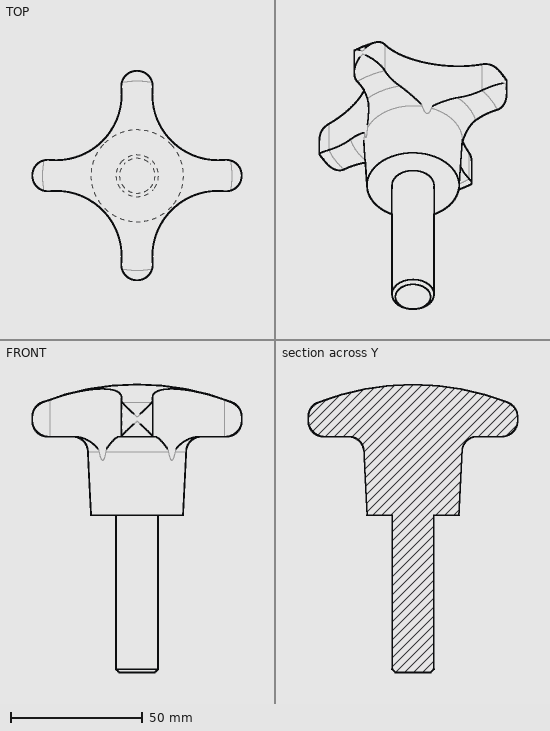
import cadquery as cq
import math

total_height = 110.0
head_diameter = 80.0
head_radius = head_diameter / 2

stud_radius = 8.0
stud_chamfer = 1.3

hub_base_z = 60.1
hub_base_radius = 17.6
hub_top_z = 84.4
hub_top_radius = 18.8

head_base_z = 90.0
dome_radius = 100.0
tip_radius = 6.0

scallop_offset = 30.8
tip_center = head_radius - tip_radius
scallop_radius = math.hypot(tip_center - scallop_offset, scallop_offset) - tip_radius


def point_on_circle(center, radius, angle):
    """Point at an angle in degrees around a circle."""
    turn = math.radians(angle)
    return (center[0] + radius * math.cos(turn), center[1] + radius * math.sin(turn))


def turned(point, angle):
    """Point turned about the origin by an angle in degrees."""
    own_angle = math.degrees(math.atan2(point[1], point[0]))
    return point_on_circle((0, 0), math.hypot(*point), own_angle + angle)


def revolved_body():
    """Stud, hub and domed head as one body of revolution."""
    flare = head_base_z - hub_top_z
    flare_center = (hub_top_radius + flare, hub_top_z)

    dome_center_z = total_height - dome_radius
    dome_angle = math.degrees(math.acos(tip_center / (dome_radius - tip_radius)))
    upper_tip = point_on_circle((0, dome_center_z), dome_radius - tip_radius, dome_angle)
    lower_tip = (tip_center, head_base_z + tip_radius)
    dome_edge = point_on_circle(upper_tip, tip_radius, dome_angle)
    dome_middle = point_on_circle((0, dome_center_z), dome_radius, (dome_angle + 90) / 2)

    return (
        cq.Workplane("XZ")
        .lineTo(stud_radius - stud_chamfer, 0)
        .lineTo(stud_radius, stud_chamfer)
        .lineTo(stud_radius, hub_base_z)
        .lineTo(hub_base_radius, hub_base_z)
        .lineTo(hub_top_radius, hub_top_z)
        .threePointArc(
            point_on_circle(flare_center, flare, 135),
            (flare_center[0], head_base_z),
        )
        .lineTo(tip_center, head_base_z)
        .threePointArc(
            point_on_circle(lower_tip, tip_radius, -45),
            (head_radius, lower_tip[1]),
        )
        .lineTo(head_radius, upper_tip[1])
        .threePointArc(point_on_circle(upper_tip, tip_radius, dome_angle / 2), dome_edge)
        .threePointArc(dome_middle, (0, total_height))
        .close()
        .revolve(360, (0, 0, 0), (0, 1, 0))
    )


def cross_prism():
    """Full-height prism of the four-armed plan, scallops tangent to the arm tips."""
    tangent_angle = math.degrees(math.atan2(-scallop_offset, tip_center - scallop_offset))
    join = point_on_circle((tip_center, 0), tip_radius, tangent_angle + 180)
    start = (join[0], -join[1])

    arm_end = (head_radius, 0)
    scallop_middle = point_on_circle((scallop_offset, scallop_offset), scallop_radius, 225)
    next_start = (join[1], join[0])

    outline = cq.Workplane("XY").moveTo(*start)
    for arm in range(4):
        angle = 90 * arm
        outline = outline.threePointArc(turned(arm_end, angle), turned(join, angle))
        outline = outline.threePointArc(turned(scallop_middle, angle), turned(next_start, angle))
    return outline.close().extrude(total_height)


result = revolved_body().intersect(cross_prism())